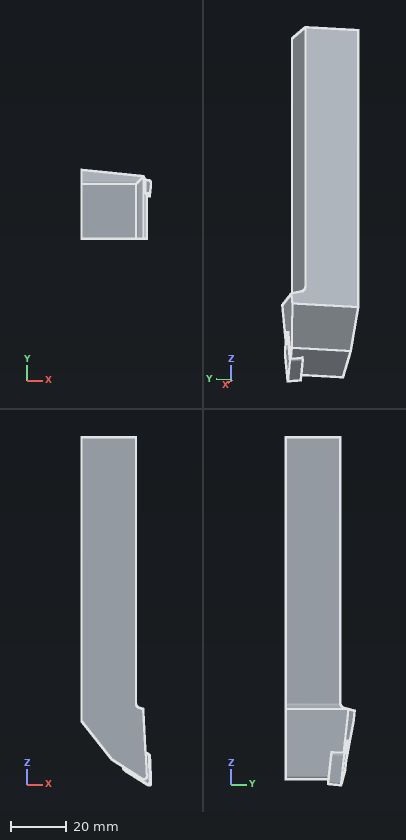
import cadquery as cq
import math


tool_width = 25.37
tool_depth = 25.07
tool_length = 126.35

shank_size = 19.85
shoulder_angle = math.radians(15)
shoulder_height = 28.5
shoulder_radius = 1.8

head_corner_x = 22.5
end_face_angle = 32.5
relief_top_z = 23.4
relief_end_x = 11.0
relief_end_z = 9.45
head_tip_x = 23.9
head_nose_radius = 1.1

rake_angle = math.radians(6)

insert_angle = 55.0
side_angle = 3.0
inscribed_circle = 9.525
insert_thickness = 4.76
insert_rise = 0.45
insert_nose_radius = 0.8

rake_slope = math.tan(rake_angle)
rake_top_z = shoulder_height - (tool_depth - shank_size) * math.tan(shoulder_angle)
insert_edge = inscribed_circle / math.sin(math.radians(insert_angle))
head_tip_z = relief_end_z - (head_tip_x - relief_end_x) * math.tan(math.radians(end_face_angle))


def shoulder_z(offset):
    """Height of the sloped shoulder at a given X or Y."""
    return shoulder_height - (offset - shank_size) * math.tan(shoulder_angle)


def start_at_shoulder(plane, outer):
    """Begin an outline: shank end, shank side, fillet and shoulder out to `outer`."""
    tangent = shoulder_radius * math.tan((math.pi / 2 - shoulder_angle) / 2)
    fillet_end = shank_size + tangent * math.cos(shoulder_angle)
    return (
        cq.Workplane(plane)
        .moveTo(0, tool_length)
        .lineTo(shank_size, tool_length)
        .lineTo(shank_size, shoulder_height + tangent)
        .radiusArc((fillet_end, shoulder_z(fillet_end)), -shoulder_radius)
        .lineTo(outer, shoulder_z(outer))
    )


def rake_plane(x, z, rise=0):
    """Plane on the rake face, or `rise` above it in Y, facing into the tool with local Y up."""
    y = tool_depth + rise - rake_slope * (x + rake_top_z - z)
    return cq.Plane(
        origin=(x, y, z),
        xDir=(1, -rake_slope, 0),
        normal=(-rake_slope, -1, rake_slope),
    )


def polar(length, degrees):
    """Vector of a given length and direction in a local XY plane."""
    angle = math.radians(degrees)
    return cq.Vector(length * math.cos(angle), length * math.sin(angle))


def make_insert():
    seat = rake_plane(tool_width - insert_nose_radius, insert_nose_radius, insert_rise)

    side_direction = 90 + side_angle
    nose_setback = insert_nose_radius / math.sin(math.radians(insert_angle / 2))
    tip = polar(-nose_setback, side_direction + insert_angle / 2)
    side = polar(insert_edge, side_direction)
    end = polar(insert_edge, side_direction + insert_angle)
    corners = [tip, tip + side, tip + side + end, tip + end]

    return (
        cq.Workplane(seat)
        .polyline([corner.toTuple()[:2] for corner in corners])
        .close()
        .extrude(insert_thickness)
        .edges(cq.selectors.ParallelDirSelector(seat.zDir))
        .fillet(insert_nose_radius)
    )


def make_holder(insert):
    margin = 5.0
    reach = 3 * tool_length

    across = (
        start_at_shoulder("XZ", head_corner_x)
        .lineTo(head_tip_x, head_tip_z)
        .lineTo(relief_end_x, relief_end_z)
        .lineTo(0, relief_top_z)
        .close()
        .extrude(-(tool_depth + margin))
        .edges(cq.selectors.NearestToPointSelector((head_tip_x, tool_depth / 2, head_tip_z)))
        .fillet(head_nose_radius)
    )
    deep = (
        start_at_shoulder("YZ", tool_depth + margin)
        .lineTo(tool_depth + margin, 0)
        .lineTo(0, 0)
        .close()
        .extrude(tool_width)
    )
    outside_rake = (
        cq.Workplane(rake_plane(0, 0))
        .rect(reach, reach)
        .extrude(-tool_length)
    )
    return across.intersect(deep).cut(outside_rake).cut(insert)


insert = make_insert()
holder = make_holder(insert)

result = cq.Compound.makeCompound([holder.solids().val(), insert.solids().val()])